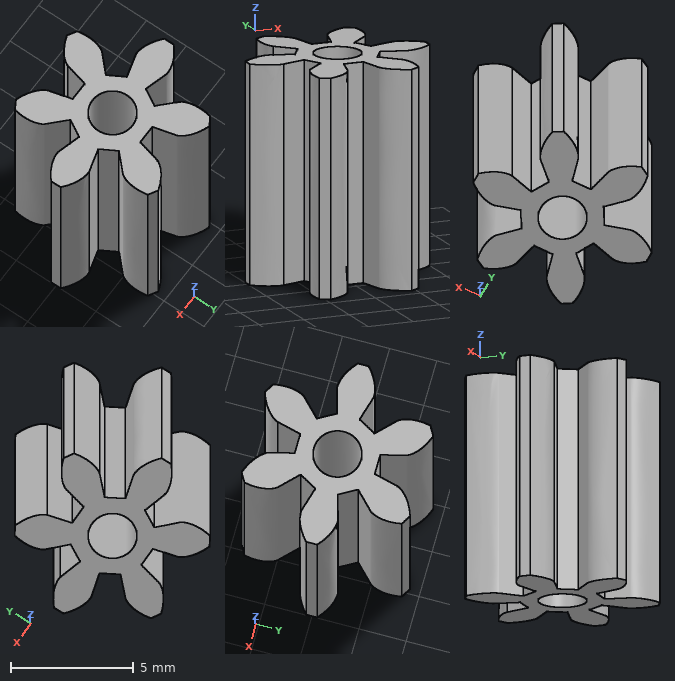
import cadquery as cq
import math

tooth_count = 6
tip_diameter = 8.0
face_width = 9.38
bore_diameter = 2.0
pressure_angle = math.radians(20)
dedendum_factor = 1.25
flank_spans = 8

module = tip_diameter / (tooth_count + 2)
pitch_radius = tooth_count * module / 2
tip_radius = tip_diameter / 2
root_radius = pitch_radius - dedendum_factor * module
base_radius = pitch_radius * math.cos(pressure_angle)

pitch_step = 2 * math.pi / tooth_count
involute_at_pitch = math.tan(pressure_angle) - pressure_angle
base_half_angle = pitch_step / 4 + involute_at_pitch
tip_roll_angle = math.sqrt((tip_radius / base_radius) ** 2 - 1)


def polar_point(radius, angle):
    return (radius * math.cos(angle), radius * math.sin(angle))


def flank_point(roll_angle, tooth_angle, side):
    """Point on a tooth's involute; side is -1 or +1 about the tooth centre line."""
    radius = base_radius * math.sqrt(1 + roll_angle**2)
    half_angle = base_half_angle - roll_angle + math.atan(roll_angle)
    return polar_point(radius, tooth_angle + side * half_angle)


def flank_points(tooth_angle, side):
    """Points along one involute, from the base circle out to the tip."""
    rolls = [tip_roll_angle * i / flank_spans for i in range(flank_spans + 1)]
    return [flank_point(roll, tooth_angle, side) for roll in rolls]


def gear_outline():
    """Closed profile with radial lower flanks and straight tooth tips and roots."""
    outline = cq.Workplane("XY").moveTo(*polar_point(root_radius, -base_half_angle))
    for tooth in range(tooth_count):
        tooth_angle = tooth * pitch_step
        rising_flank = flank_points(tooth_angle, -1)
        falling_flank = flank_points(tooth_angle, 1)[::-1]
        if tooth > 0:
            outline = outline.lineTo(*polar_point(root_radius, tooth_angle - base_half_angle))
        outline = outline.lineTo(*rising_flank[0]).spline(rising_flank[1:], includeCurrent=True)
        outline = outline.lineTo(*falling_flank[0]).spline(falling_flank[1:], includeCurrent=True)
        outline = outline.lineTo(*polar_point(root_radius, tooth_angle + base_half_angle))
    return outline.close()


blank = gear_outline().extrude(face_width)
bore = cq.Workplane("XY").circle(bore_diameter / 2).extrude(face_width)
result = blank.cut(bore)